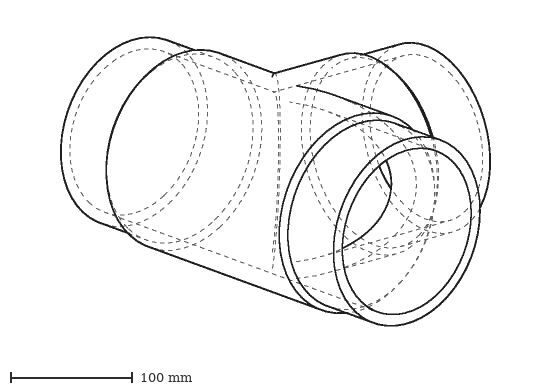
import cadquery as cq

run_length = 340.0
arm_reach = run_length / 2
body_diameter = 169.5
spigot_diameter = 160.0
bore_diameter = 140.8
spigot_length = 56.8
chamfer_length = 5.5

body_radius = body_diameter / 2
spigot_radius = spigot_diameter / 2
bore_radius = bore_diameter / 2

chamfer_foot = arm_reach - spigot_length
chamfer_top = chamfer_foot - chamfer_length

arm_profile = [
    (chamfer_top, body_radius),
    (chamfer_foot, spigot_radius),
    (arm_reach, spigot_radius),
    (arm_reach, 0),
]


def make_run():
    """Solid run along X: body with a chamfer and a spigot at both ends."""
    mirrored_profile = [(-x, radius) for x, radius in reversed(arm_profile)]
    return (
        cq.Workplane("XY")
        .polyline(mirrored_profile + arm_profile)
        .close()
        .revolve(360, (0, 0, 0), (1, 0, 0))
    )


def make_branch():
    """Solid branch from the tee centre towards +Y."""
    return (
        cq.Workplane("XY")
        .polyline([(0, 0), (0, body_radius)] + arm_profile)
        .close()
        .revolve(360, (0, 0, 0), (1, 0, 0))
        .rotate((0, 0, 0), (0, 0, 1), 90)
    )


run_bore = cq.Workplane("YZ").circle(bore_radius).extrude(arm_reach, both=True)
branch_bore = cq.Workplane("XZ").circle(bore_radius).extrude(-arm_reach)

result = make_run().union(make_branch()).cut(run_bore).cut(branch_bore)